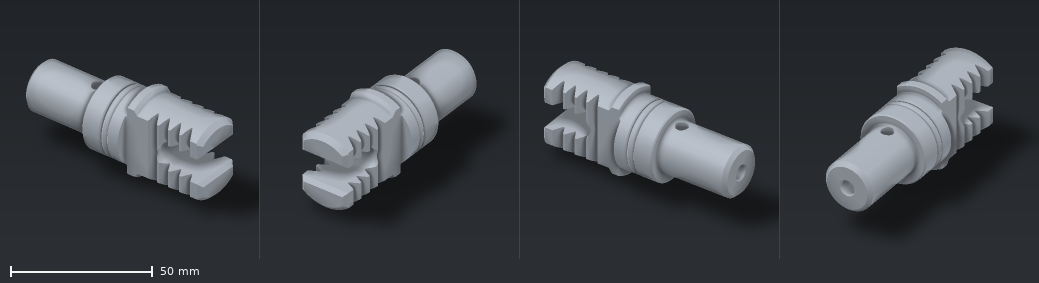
import cadquery as cq
import math

total_length = 79.0
collar_start = 29.0
flats_start = 45.0
flange_start = 45.9
flange_end = 48.9

shank_radius = 10.0
collar_radius = 14.0
flange_radius = 17.0
head_radius = 15.5

shank_chamfer = 1.5
shank_fillet = 0.95
collar_chamfer = 0.5
flange_round = 0.3
neck_fillet = 0.5
head_chamfer = 2.0

ring_section_radius = 1.5
ring_center_x = 38.55
groove_start = 36.8
groove_end = 40.05
groove_edge_chamfer = 0.4
groove_floor_radius = collar_radius - 2 * ring_section_radius

flat_offset = 9.55
jaw_offset = 10.0
jaw_chamfer = 1.5
flat_fillet = 0.5
notch_count = 4
notch_pitch = 5.0
first_notch_x = 57.1
notch_floor_offset = 6.0
notch_floor_width = 0.5
notch_mouth_width = 4.0

slot_radius = 5.3
slot_bottom_x = 58.7
slot_mouth_chamfer = 1.5

bore_radius = 3.0
bore_chamfer = 0.2
bore_depth = 28.0
drill_point_angle = 140.0
cross_hole_radius = 2.5
cross_hole_x = 25.4

clearance = 3.95
outer_reach = flange_radius + clearance


def make_turned_blank():
    """Stepped shaft revolved about the X axis."""
    cone_length = flange_radius - head_radius
    profile = (
        cq.Workplane("XZ")
        .moveTo(0, 0)
        .lineTo(0, shank_radius - shank_chamfer)
        .lineTo(shank_chamfer, shank_radius)
        .lineTo(collar_start - shank_fillet, shank_radius)
        .radiusArc((collar_start, shank_radius + shank_fillet), -shank_fillet)
        .lineTo(collar_start, collar_radius - collar_chamfer)
        .lineTo(collar_start + collar_chamfer, collar_radius)
        .lineTo(groove_start - groove_edge_chamfer, collar_radius)
        .lineTo(groove_start, collar_radius - groove_edge_chamfer)
        .lineTo(groove_start, groove_floor_radius)
        .lineTo(groove_end, groove_floor_radius)
        .lineTo(groove_end, collar_radius - groove_edge_chamfer)
        .lineTo(groove_end + groove_edge_chamfer, collar_radius)
        .lineTo(flange_start - neck_fillet, collar_radius)
        .radiusArc((flange_start, collar_radius + neck_fillet), -neck_fillet)
        .lineTo(flange_start, flange_radius - flange_round)
        .radiusArc((flange_start + flange_round, flange_radius), flange_round)
        .lineTo(flange_end, flange_radius)
        .lineTo(flange_end + cone_length, head_radius)
        .lineTo(total_length - head_chamfer, head_radius)
        .lineTo(total_length, head_radius - head_chamfer)
        .lineTo(total_length, 0)
        .close()
    )
    return profile.revolve(360, (0, 0, 0), (1, 0, 0))


def make_side_cutter():
    """Material removed on the +Y side: flat, V notches and jaw tip."""
    flank_slope = (notch_mouth_width - notch_floor_width) / 2 / (flat_offset - notch_floor_offset)
    outline = (
        cq.Workplane("XY")
        .moveTo(flats_start, outer_reach)
        .lineTo(flats_start, flat_offset + flat_fillet)
        .radiusArc((flats_start + flat_fillet, flat_offset), -flat_fillet)
    )
    for i in range(notch_count):
        notch_x = first_notch_x + i * notch_pitch
        is_last = i == notch_count - 1
        exit_offset = jaw_offset if is_last else flat_offset
        exit_run = notch_floor_width / 2 + flank_slope * (exit_offset - notch_floor_offset)
        outline = (
            outline
            .lineTo(notch_x - notch_mouth_width / 2, flat_offset)
            .lineTo(notch_x - notch_floor_width / 2, notch_floor_offset)
            .lineTo(notch_x + notch_floor_width / 2, notch_floor_offset)
            .lineTo(notch_x + exit_run, exit_offset)
        )
    outline = (
        outline
        .lineTo(total_length - jaw_chamfer, jaw_offset)
        .lineTo(total_length, jaw_offset - jaw_chamfer)
        .lineTo(total_length, outer_reach)
        .close()
    )
    return outline.extrude(outer_reach, both=True)


def make_slot_cutter():
    """Round-bottomed slot through Y, open at the jaw end with chamfered mouth."""
    arc_center_x = slot_bottom_x + slot_radius
    mouth_half_height = slot_radius + slot_mouth_chamfer
    return (
        cq.Workplane("XZ")
        .moveTo(arc_center_x, slot_radius)
        .threePointArc((slot_bottom_x, 0), (arc_center_x, -slot_radius))
        .lineTo(total_length - slot_mouth_chamfer, -slot_radius)
        .lineTo(total_length, -mouth_half_height)
        .lineTo(total_length, mouth_half_height)
        .lineTo(total_length - slot_mouth_chamfer, slot_radius)
        .close()
        .extrude(outer_reach, both=True)
    )


def make_bore_cutter():
    """Axial drilled hole with a chamfered mouth and a conical drill point."""
    point_length = bore_radius / math.tan(math.radians(drill_point_angle / 2))
    return (
        cq.Workplane("XZ")
        .moveTo(0, 0)
        .lineTo(0, bore_radius + bore_chamfer)
        .lineTo(bore_chamfer, bore_radius)
        .lineTo(bore_depth, bore_radius)
        .lineTo(bore_depth + point_length, 0)
        .close()
        .revolve(360, (0, 0, 0), (1, 0, 0))
    )


def make_cross_hole_cutter():
    """Hole through the shank along Z."""
    return (
        cq.Workplane("XY")
        .center(cross_hole_x, 0)
        .circle(cross_hole_radius)
        .extrude(outer_reach, both=True)
    )


def make_toolholder():
    """Complete shaft with flats, notched jaws, slot and holes."""
    side_cutter = make_side_cutter()
    return (
        make_turned_blank()
        .cut(side_cutter)
        .cut(side_cutter.mirror("XZ"))
        .cut(make_slot_cutter())
        .cut(make_bore_cutter())
        .cut(make_cross_hole_cutter())
        .solids()
    )


def make_sealing_ring():
    """O-ring seated on the floor of the collar groove."""
    return (
        cq.Workplane("XZ")
        .moveTo(ring_center_x, groove_floor_radius + ring_section_radius)
        .circle(ring_section_radius)
        .revolve(360, (0, 0, 0), (1, 0, 0))
    )


toolholder = make_toolholder()
sealing_ring = make_sealing_ring()

result = cq.Compound.makeCompound([toolholder.val(), sealing_ring.val()])